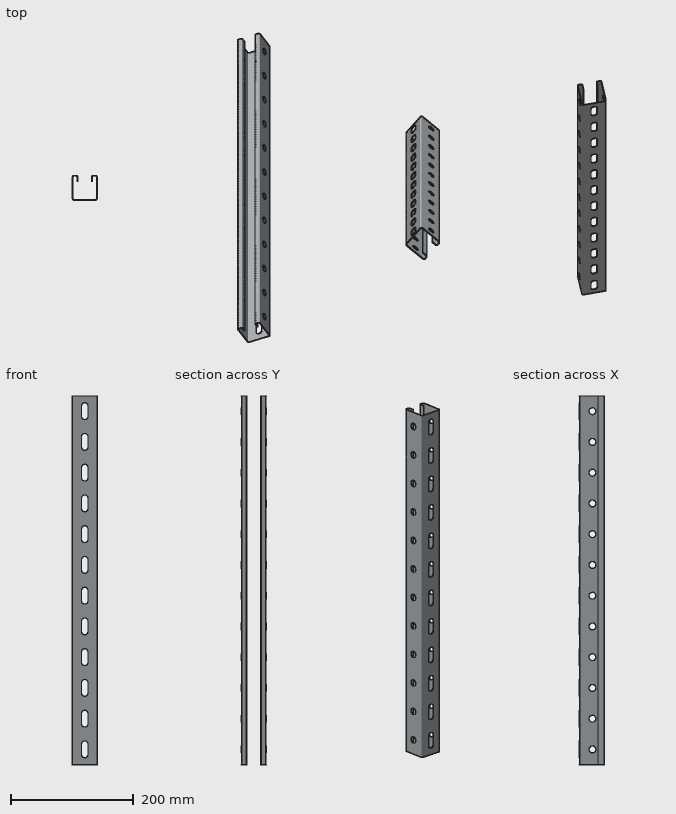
import cadquery as cq
import math

length = 600.0
width = 41.0
depth = 41.0
wall = 1.5
bend_radius = 3.0
mouth_width = 22.0
lip_depth = 10.0

perforation_count = 12
pitch = length / perforation_count
slot_width = 10.0
slot_length = 27.0
side_hole_diameter = 11.0
side_hole_offset = 1.0

half_width = width / 2
half_depth = depth / 2
half_mouth = mouth_width / 2
perforation_heights = [(i + 0.5) * pitch for i in range(perforation_count)]


def add_bend(outline, center, radius, start_angle, end_angle):
    """Run a straight line up to a bend, then follow its arc (angles in degrees)."""

    def on_arc(angle):
        turn = math.radians(angle)
        return (center[0] + radius * math.cos(turn), center[1] + radius * math.sin(turn))

    middle_angle = (start_angle + end_angle) / 2
    outline = outline.lineTo(*on_arc(start_angle))
    return outline.threePointArc(on_arc(middle_angle), on_arc(end_angle))


def half_channel():
    """The +X half of the channel: web, side wall, flange and lip."""
    web_bend = (half_width - bend_radius, -half_depth + bend_radius)
    flange_bend = (half_width - bend_radius, half_depth - bend_radius)
    lip_bend = (half_mouth + bend_radius, half_depth - bend_radius)
    lip_end = half_depth - lip_depth
    inner_radius = bend_radius - wall

    outline = cq.Workplane("XY").moveTo(0, -half_depth)
    outline = add_bend(outline, web_bend, bend_radius, -90, 0)
    outline = add_bend(outline, flange_bend, bend_radius, 0, 90)
    outline = add_bend(outline, lip_bend, bend_radius, 90, 180)
    outline = outline.lineTo(half_mouth, lip_end)

    outline = outline.lineTo(half_mouth + wall, lip_end)
    outline = add_bend(outline, lip_bend, inner_radius, 180, 90)
    outline = add_bend(outline, flange_bend, inner_radius, 90, 0)
    outline = add_bend(outline, web_bend, inner_radius, 0, -90)
    outline = outline.lineTo(0, -half_depth + wall)
    return outline.close().extrude(length)


def web_slots():
    """Long slots through the -Y web, lengthwise along Z."""
    return (
        cq.Workplane("XZ", origin=(0, -half_depth + wall, 0))
        .pushPoints([(0, z) for z in perforation_heights])
        .slot2D(slot_length, slot_width, 90)
        .extrude(wall)
    )


def side_holes():
    """Round holes passing through both side walls."""
    return (
        cq.Workplane("YZ", origin=(-half_width, 0, 0))
        .pushPoints([(side_hole_offset, z) for z in perforation_heights])
        .circle(side_hole_diameter / 2)
        .extrude(width)
    )


right_half = half_channel()
channel = right_half.union(right_half.mirror("YZ")).clean()
result = channel.cut(web_slots()).cut(side_holes())